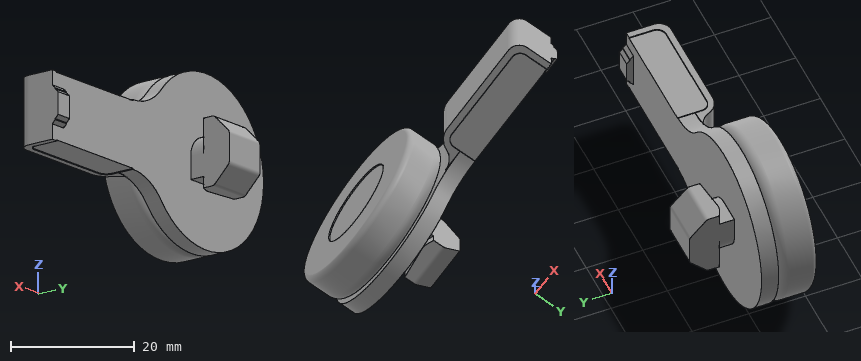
import cadquery as cq
import math

disc_diameter = 30.0
disc_radius = disc_diameter / 2
cap_thickness = 7.0
plate_thickness = 3.0
plate_back = cap_thickness + plate_thickness
front_round = 1.0
back_round = 2.0
recess_diameter = 15.0
recess_depth = 0.2

total_length = 55
arm_end = total_length - disc_radius
arm_width = 11.8
arm_half_width = arm_width / 2
arm_front = 2.95
neck_fillet = 9.45
bend_end = 21.0
end_round = 2.2
wall = 1.2
pad_start = 19.05
pad_round = end_round - wall / 2
pad_inset = 0.15

ridge_length = 2.95
ridge_height = 1.2
ridge_base = 6.6
ridge_ledge = 0.15

total_depth = 18.0
stud_width = 8.0
stud_half_width = stud_width / 2
head_height = 11.8
head_half_height = head_height / 2
head_chamfer = 3.2
head_round = 1.0
head_clearance = 2.65
head_base = plate_back + head_clearance
ramp_peak_clearance = 1.9
ramp_peak_x = -2.3
ramp_round = 2.2


def cylinder_along_y(radius, start, length):
    return cq.Workplane("XZ", origin=(0, start, 0)).circle(radius).extrude(-length)


def make_cap():
    cap = cylinder_along_y(disc_radius, 0, cap_thickness)
    cap = cap.faces("<Y").edges().fillet(front_round)
    cap = cap.faces(">Y").edges().fillet(back_round)
    return cap.cut(cylinder_along_y(recess_diameter / 2, 0, recess_depth))


def make_plate():
    """Disc with a tongue blended in by two arcs tangent to the disc and to the arm sides."""
    fillet_z = arm_half_width + neck_fillet
    center_distance = disc_radius + neck_fillet
    fillet_x = math.sqrt(center_distance**2 - fillet_z**2)
    touch_x = fillet_x * disc_radius / center_distance
    touch_z = fillet_z * disc_radius / center_distance
    start_angle = math.atan2(-fillet_z, -fillet_x)
    middle_angle = (start_angle - math.pi / 2) / 2
    middle_x = fillet_x + neck_fillet * math.cos(middle_angle)
    middle_z = fillet_z + neck_fillet * math.sin(middle_angle)
    tongue = (
        cq.Workplane("XZ", origin=(0, cap_thickness, 0))
        .moveTo(0, 0)
        .lineTo(touch_x, touch_z)
        .threePointArc((middle_x, middle_z), (fillet_x, arm_half_width))
        .lineTo(fillet_x, -arm_half_width)
        .threePointArc((middle_x, -middle_z), (touch_x, -touch_z))
        .close()
        .extrude(-plate_thickness)
    )
    return cylinder_along_y(disc_radius, cap_thickness, plate_thickness).union(tongue)


def make_arm():
    """Bar whose front steps forward through two equal, tangent bends."""
    middle_x = (disc_radius + bend_end) / 2
    middle_y = (cap_thickness + arm_front) / 2
    arm = (
        cq.Workplane("XY", origin=(0, 0, -arm_half_width))
        .moveTo(disc_radius - wall, plate_back)
        .lineTo(disc_radius - wall, cap_thickness)
        .lineTo(disc_radius, cap_thickness)
        .tangentArcPoint((middle_x, middle_y), relative=False)
        .tangentArcPoint((bend_end, arm_front), relative=False)
        .lineTo(arm_end, arm_front)
        .lineTo(arm_end, plate_back)
        .close()
        .extrude(arm_width)
    )
    arm = arm.edges("|Z and >X and <Y").fillet(end_round)

    pad_length = arm_end - wall - pad_start
    pad_front = arm_front + wall
    for bottom in (-arm_half_width, arm_half_width - pad_inset):
        pad_recess = (
            cq.Workplane("XY", origin=(pad_start, pad_front, bottom))
            .rect(pad_length, plate_back - pad_front, centered=False)
            .extrude(pad_inset)
            .edges("|Z and <Y")
            .fillet(pad_round)
        )
        arm = arm.cut(pad_recess)
    return arm


def make_ridge():
    """Ridge with 45 degree flanks, each broken by a small ledge halfway up."""
    base_z = ridge_base / 2
    step = ridge_height / 2
    return (
        cq.Workplane("YZ", origin=(arm_end - ridge_length, plate_back, 0))
        .moveTo(0, -base_z)
        .lineTo(0, base_z)
        .lineTo(step, base_z - step)
        .lineTo(step, base_z - step - ridge_ledge)
        .lineTo(ridge_height, base_z - ridge_height - ridge_ledge)
        .lineTo(ridge_height, -base_z + ridge_height + ridge_ledge)
        .lineTo(step, -base_z + step + ridge_ledge)
        .lineTo(step, -base_z + step)
        .close()
        .extrude(ridge_length)
    )


def make_stud():
    """Round neck with two opposite square corners, under a chamfered head with cam ramps."""
    neck = cylinder_along_y(stud_half_width, plate_back, head_clearance)
    head = (
        cq.Workplane("XY")
        .box(stud_width, total_depth - head_base, head_height, centered=(True, False, True))
        .translate((0, head_base, 0))
        .edges("|X and >Y")
        .chamfer(head_chamfer)
    )
    head = head.faces("#X and (not #Y) and (not #Z)").edges("|X").fillet(head_round)
    corner = (
        cq.Workplane("XY", origin=(-stud_half_width, plate_back, 0))
        .box(stud_half_width, head_clearance, stud_half_width, centered=False)
    )
    ramp = (
        cq.Workplane("XY")
        .moveTo(-stud_half_width, head_base)
        .lineTo(ramp_peak_x, plate_back + ramp_peak_clearance)
        .lineTo(stud_half_width, head_base)
        .close()
        .extrude(head_half_height)
        .edges("|Z and <Y")
        .fillet(ramp_round)
    )
    stud = head.union(neck)
    for turn in (0, 180):
        for piece in (corner, ramp):
            stud = stud.union(piece.rotate((0, 0, 0), (0, 1, 0), turn))
    return stud


result = make_cap()
for section in (make_plate(), make_arm(), make_ridge(), make_stud()):
    result = result.union(section)